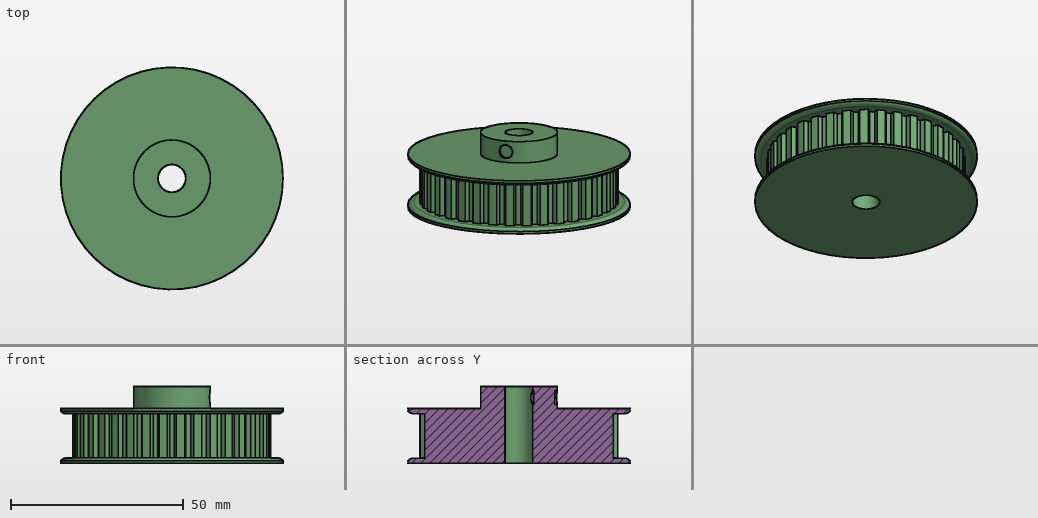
import cadquery as cq
import math


tooth_count = 36
tip_radius = 57.3 / 2
groove_depth = 1.37
groove_floor_width = 1.37
groove_flank_angle = 25.0

flange_radius = 64.26 / 2
flange_thickness = 1.6
flange_rim_height = 0.75
flange_flat_radius = 60.9 / 2

drum_height = 15.875
hub_height = 6.35
hub_radius = 22.225 / 2
bore_radius = 7.94 / 2

set_screw_diameter = 4.0
screw_inner_end = 4.2
screw_outer_recess = 0.7
screw_outer_end = hub_radius - screw_outer_recess

total_height = drum_height + hub_height


def make_toothed_drum():
    """Cylinder with trapezoidal grooves; one groove is centred on +X."""
    overshoot = 0.5
    floor_radius = tip_radius - groove_depth
    mouth_radius = tip_radius + overshoot
    floor_half = groove_floor_width / 2
    mouth_half = floor_half + (mouth_radius - floor_radius) * math.tan(math.radians(groove_flank_angle))
    groove = (
        cq.Workplane("XY")
        .moveTo(floor_radius, -floor_half)
        .lineTo(mouth_radius, -mouth_half)
        .lineTo(mouth_radius, mouth_half)
        .lineTo(floor_radius, floor_half)
        .close()
        .extrude(drum_height)
    )
    drum = cq.Workplane("XY").circle(tip_radius).extrude(drum_height)
    for index in range(tooth_count):
        angle = index * 360.0 / tooth_count
        drum = drum.cut(groove.rotate((0, 0, 0), (0, 0, 1), angle))
    return drum


def make_lower_flange():
    """Disc whose inner face curves down to a short straight rim."""
    curve_width = flange_radius - flange_flat_radius
    curve_drop = flange_thickness - flange_rim_height
    curve_radius = (curve_width**2 + curve_drop**2) / (2 * curve_drop)
    half_sweep = math.asin(curve_width / curve_radius) / 2
    arc_middle = (
        flange_flat_radius + curve_radius * math.sin(half_sweep),
        flange_thickness - curve_radius * (1 - math.cos(half_sweep)),
    )
    return (
        cq.Workplane("XZ")
        .lineTo(flange_radius, 0)
        .lineTo(flange_radius, flange_rim_height)
        .threePointArc(arc_middle, (flange_flat_radius, flange_thickness))
        .lineTo(0, flange_thickness)
        .close()
        .revolve(360, (0, 0, 0), (0, 1, 0))
    )


def make_hub():
    return cq.Workplane("XY").workplane(offset=drum_height).circle(hub_radius).extrude(hub_height)


def make_bore():
    return cq.Workplane("XY").circle(bore_radius).extrude(total_height)


def make_screw_recess(start, end):
    """Round recess along +X at the hub's mid height, from one distance off the axis to another."""
    return (
        cq.Workplane("YZ")
        .workplane(offset=start)
        .center(0, drum_height + hub_height / 2)
        .circle(set_screw_diameter / 2)
        .extrude(end - start)
    )


lower_flange = make_lower_flange()
upper_flange = lower_flange.mirror("XY").translate((0, 0, drum_height))

result = (
    make_toothed_drum()
    .union(lower_flange)
    .union(upper_flange)
    .union(make_hub())
    .cut(make_bore())
    .cut(make_screw_recess(0, screw_inner_end))
    .cut(make_screw_recess(screw_outer_end, hub_radius))
)